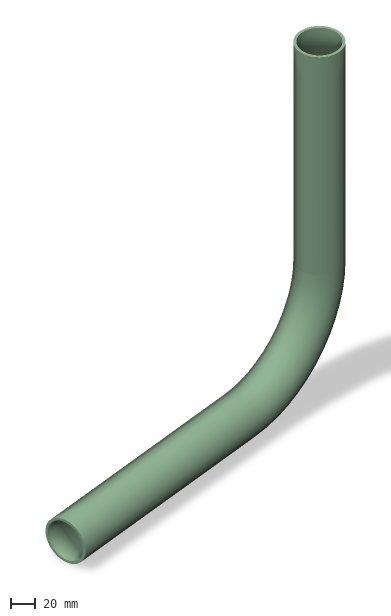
import cadquery as cq

outer_diameter = 42.4
wall_thickness = 2.5
overall_length = 342.66
bend_radius = 100.0

outer_radius = outer_diameter / 2
inner_radius = outer_radius - wall_thickness
leg_length = overall_length - outer_radius - bend_radius


def straight_leg(plane):
    """Straight tube that starts on the given plane and runs along its normal."""
    ring = cq.Workplane(plane).circle(outer_radius).circle(inner_radius)
    return ring.extrude(leg_length)


def quarter_bend():
    """90 degree elbow about the X-parallel axis through Y = -bend_radius, Z = bend_radius."""
    ring = (
        cq.Workplane("XY", origin=(0, 0, bend_radius))
        .circle(outer_radius)
        .circle(inner_radius)
    )
    return ring.revolve(90, (0, -bend_radius, 0), (-1, -bend_radius, 0))


vertical_leg = straight_leg(cq.Plane(origin=(0, 0, bend_radius), normal=(0, 0, 1)))
horizontal_leg = straight_leg(cq.Plane(origin=(0, -bend_radius, 0), normal=(0, -1, 0)))

result = quarter_bend().union(vertical_leg).union(horizontal_leg)